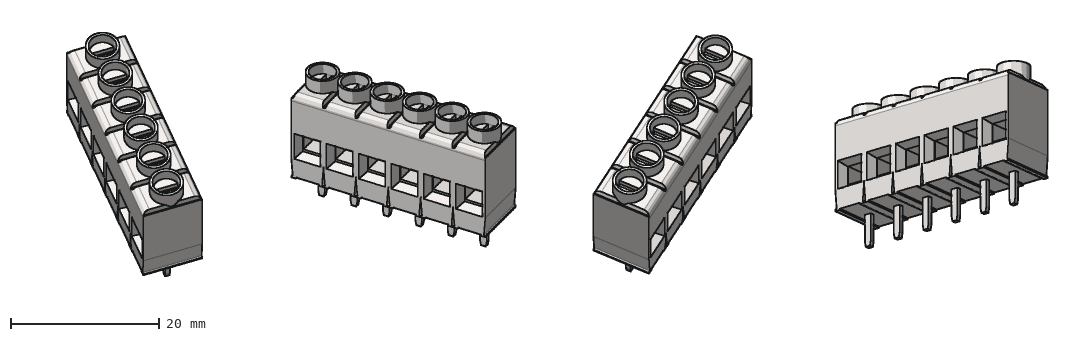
import cadquery as cq


length = 30.0
depth = 8.5
pole_count = 6
pitch = length / pole_count
shoulder_z = 13.45
top_radius = 1.0

groove_depth = 0.63
groove_top_half = 0.4
groove_floor_half = 0.15

collar_top_z = 15.45
collar_diameter = 4.6
bore_mouth_diameter = 3.78
screw_diameter = 3.65
screw_recess = 1.55
driver_slot_width = 0.85
driver_slot_depth = 0.75

funnel_mouth = 4.08
funnel_throat = 3.0
funnel_depth = 1.47
entry_center_z = 5.2
pocket_width = 2.8
pocket_floor_z = 4.05
pocket_top_z = entry_center_z + funnel_throat / 2
pocket_end = depth / 2

slit_top_z = 3.2
slit_radius = 0.225
slit_center_z = 0.42

foot_height = 0.18
foot_bottom_half = 0.72
foot_root_half = 0.8

pin_length = 4.5
pin_width = 1.02
pin_thickness = 0.65
pin_tip_width = 0.72
pin_tip_length = 0.75

front_y = -depth / 2
pole_x = [(i + 0.5) * pitch - length / 2 for i in range(pole_count)]
boundary_x = [i * pitch - length / 2 for i in range(pole_count + 1)]


def extrude_through(profile):
    """Extrude an XZ profile over the full depth of the block, centred in Y."""
    return profile.extrude(depth / 2, both=True)


def make_housing():
    box = cq.Workplane("XY").box(length, depth, shoulder_z, centered=(True, True, False))
    return box.edges("|X and >Z").fillet(top_radius)


def make_groove(x):
    floor_z = shoulder_z - groove_depth
    profile = (
        cq.Workplane("XZ")
        .moveTo(x - groove_top_half, shoulder_z)
        .lineTo(x - groove_floor_half, floor_z)
        .lineTo(x + groove_floor_half, floor_z)
        .lineTo(x + groove_top_half, shoulder_z)
        .close()
    )
    return extrude_through(profile)


def make_slit(x):
    profile = (
        cq.Workplane("XZ")
        .moveTo(x, slit_top_z)
        .lineTo(x - slit_radius, slit_center_z)
        .threePointArc((x, slit_center_z - slit_radius), (x + slit_radius, slit_center_z))
        .close()
    )
    return extrude_through(profile)


def make_underside_recess(x):
    bottom_half = pitch / 2 - foot_bottom_half
    root_half = pitch / 2 - foot_root_half
    profile = (
        cq.Workplane("XZ")
        .moveTo(x - bottom_half, 0)
        .lineTo(x - root_half, foot_height)
        .lineTo(x + root_half, foot_height)
        .lineTo(x + bottom_half, 0)
        .close()
    )
    return extrude_through(profile)


def make_wire_entry(x):
    funnel = (
        cq.Workplane("XZ", origin=(x, front_y, entry_center_z))
        .rect(funnel_mouth, funnel_mouth)
        .workplane(offset=-funnel_depth)
        .rect(funnel_throat, funnel_throat)
        .loft(combine=True)
    )
    pocket = (
        cq.Workplane("XY", origin=(x, front_y + funnel_depth, pocket_floor_z))
        .box(
            pocket_width,
            pocket_end - funnel_depth,
            pocket_top_z - pocket_floor_z,
            centered=(True, False, False),
        )
    )
    return funnel.union(pocket)


def make_collar(x):
    base_z = shoulder_z - groove_depth
    return (
        cq.Workplane("XY", origin=(x, 0, base_z))
        .circle(collar_diameter / 2)
        .extrude(collar_top_z - base_z)
    )


def make_screw_recess(x):
    """Bore narrowing slightly down to the screw head, with the driver slot across the head."""
    screw_z = collar_top_z - screw_recess
    bore = (
        cq.Workplane("XY", origin=(x, 0, screw_z))
        .circle(screw_diameter / 2)
        .workplane(offset=screw_recess)
        .circle(bore_mouth_diameter / 2)
        .loft(combine=True)
    )
    head = (
        cq.Workplane("XY", origin=(x, 0, screw_z))
        .circle(screw_diameter / 2)
        .extrude(-driver_slot_depth)
    )
    slot_bar = (
        cq.Workplane("XY", origin=(x, 0, screw_z))
        .rect(driver_slot_width, screw_diameter)
        .extrude(-driver_slot_depth)
    )
    return bore.union(head.intersect(slot_bar))


def make_pin(x):
    taper_z = pin_tip_length - pin_length
    profile = (
        cq.Workplane("XZ")
        .moveTo(x - pin_width / 2, foot_height)
        .lineTo(x - pin_width / 2, taper_z)
        .lineTo(x - pin_tip_width / 2, -pin_length)
        .lineTo(x + pin_tip_width / 2, -pin_length)
        .lineTo(x + pin_width / 2, taper_z)
        .lineTo(x + pin_width / 2, foot_height)
        .close()
    )
    return profile.extrude(pin_thickness / 2, both=True)


result = make_housing()

for x in boundary_x:
    result = result.cut(make_groove(x))
    result = result.cut(make_slit(x))

for x in pole_x:
    result = result.cut(make_underside_recess(x))
    result = result.cut(make_wire_entry(x))
    result = result.union(make_collar(x))
    result = result.cut(make_screw_recess(x))
    result = result.union(make_pin(x))